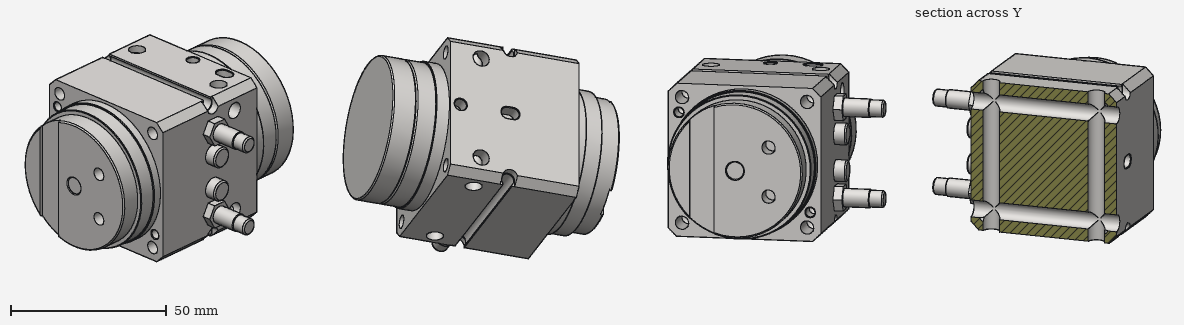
import cadquery as cq
import math

block_width = 50.0
block_length = 44.0
block_bevel = 2.7
block_half_width = block_width / 2
block_front = -block_length / 2
block_rear = block_length / 2

flange_radius = 24.0
collar_radius = 23.55
disc_radius = 22.0
front_flange_length = 3.0
front_collar_end = 8.5
front_disc_end = 15.0
rear_flange_length = 4.5
rear_collar_end = 11.0
rear_cap_length = 8.0
flange_chamfer = 0.25
front_collar_chamfer = 0.25
disc_chamfer = 0.45
cap_chamfer = 0.45

keyway_left = -14.9
keyway_right = -6.8
keyway_depth = 1.0
recess_radius = 3.1
recess_depth = 0.3
disc_screw_diameter = 4.3
disc_screw_depth = 6.0
disc_screw_x = 11.0
disc_screw_z = 8.0

corner_hole_diameter = 4.3
corner_hole_depth = 10.0
corner_hole_offset = 20.5
dowel_hole_diameter = 3.0
dowel_hole_depth = 6.0
dowel_hole_chamfer = 0.25
dowel_hole_x = 21.5
dowel_hole_z = 15.5
drill_point_angle = 118.0

cross_hole_diameter = 5.5
cross_hole_offset = 18.0
cross_hole_y = 11.5
locating_width = 4.0
locating_slot_length = 6.0
locating_depth = 5.0
locating_chamfer = 0.25
locating_hole_y = 18.5
top_slot_x = 14.0

groove_y = 1.5
groove_radius = 2.1
groove_mouth = 3.15
groove_end_radius = 2.45
groove_end_mouth = 2 * groove_end_radius
groove_axis_depth = 2.0

hex_flats = 8.0
hex_length = 2.9
plug_radius = 3.0
plug_end = 11.5
plug_chamfer = 0.25
tip_radius = 2.75
tip_end = 16.0
plug_z = 14.75
port_radius = 3.5
port_length = 4.0
port_z = 6.0
fitting_chamfer = 0.5


def cylinder_y(radius, start, end):
    """Cylinder about the Y axis between two Y positions."""
    axis = cq.Vector(0, 1, 0)
    return cq.Workplane(cq.Solid.makeCylinder(radius, end - start, cq.Vector(0, start, 0), axis))


def cylinder_x(radius, start, end, y, z):
    """Cylinder parallel to X between two X positions."""
    axis = cq.Vector(1, 0, 0)
    return cq.Workplane(cq.Solid.makeCylinder(radius, end - start, cq.Vector(start, y, z), axis))


def make_body_blank():
    """Block with its stepped round ends, before any cuts."""
    block = (
        cq.Workplane("XY")
        .box(block_width, block_length, block_width)
        .edges("|Y")
        .chamfer(block_bevel)
    )
    front_flange_face = block_front - front_flange_length
    front_collar_face = block_front - front_collar_end
    rear_flange_face = block_rear + rear_flange_length
    front_flange = cylinder_y(flange_radius, front_flange_face, 0).faces("<Y").chamfer(flange_chamfer)
    front_collar = cylinder_y(collar_radius, front_collar_face, 0).faces("<Y").chamfer(front_collar_chamfer)
    disc = cylinder_y(disc_radius, block_front - front_disc_end, 0).faces("<Y").chamfer(disc_chamfer)
    rear_flange = cylinder_y(flange_radius, 0, rear_flange_face).faces(">Y").chamfer(flange_chamfer)
    rear_collar = cylinder_y(collar_radius, 0, block_rear + rear_collar_end).faces(">Y").chamfer(cap_chamfer)
    return block.union(front_flange).union(front_collar).union(disc).union(rear_flange).union(rear_collar)


def cut_disc_face(body):
    """Keyway, centre recess and two screw holes in the front disc."""
    disc_face = block_front - front_disc_end
    keyway = cq.Workplane("XY").box(
        keyway_right - keyway_left, keyway_depth, 2 * disc_radius, centered=(False, False, True)
    ).translate((keyway_left, disc_face, 0))
    recess = cq.Workplane(
        cq.Solid.makeCone(
            recess_radius, recess_radius - recess_depth, recess_depth,
            cq.Vector(0, disc_face, 0), cq.Vector(0, 1, 0),
        )
    )
    screw_holes = (
        cq.Workplane("XZ", origin=(0, disc_face, 0))
        .pushPoints([(disc_screw_x, side * disc_screw_z) for side in (-1, 1)])
        .circle(disc_screw_diameter / 2)
        .extrude(-disc_screw_depth)
    )
    return body.cut(keyway).cut(recess).cut(screw_holes)


def drilled_hole(x, z, diameter, depth, chamfer=0.0):
    """Drill with a conical point, entering the front face of the block along +Y."""
    radius = diameter / 2
    point_length = radius / math.tan(math.radians(drill_point_angle / 2))
    profile = cq.Workplane("XY").moveTo(0, 0).lineTo(radius + chamfer, 0)
    if chamfer > 0:
        profile = profile.lineTo(radius, chamfer)
    profile = profile.lineTo(radius, depth).lineTo(0, depth + point_length).close()
    return profile.revolve(360, (0, 0, 0), (0, 1, 0)).translate((x, block_front, z))


def cut_end_holes(body):
    """Four corner holes in each end of the block, and two diagonal dowel holes in the front end."""
    for side_x in (-1, 1):
        for side_z in (-1, 1):
            corner_hole = drilled_hole(
                side_x * corner_hole_offset, side_z * corner_hole_offset,
                corner_hole_diameter, corner_hole_depth,
            )
            body = body.cut(corner_hole).cut(corner_hole.mirror("XZ"))
    for side in (-1, 1):
        body = body.cut(
            drilled_hole(
                side * dowel_hole_x, -side * dowel_hole_z,
                dowel_hole_diameter, dowel_hole_depth, dowel_hole_chamfer,
            )
        )
    return body


def cut_cross_holes(body):
    """Pairs of through holes along X and along Z, crossing near the block corners."""
    hole_along_z = cq.Workplane("XY").circle(cross_hole_diameter / 2).extrude(block_half_width, both=True)
    hole_along_x = hole_along_z.rotate((0, 0, 0), (0, 1, 0), 90)
    for side in (-1, 1):
        offset = side * cross_hole_offset
        body = body.cut(hole_along_z.translate((offset, cross_hole_y, 0)))
        body = body.cut(hole_along_x.translate((0, cross_hole_y, offset)))
    return body


def locating_pocket(length):
    """Chamfered pocket sinking from Z = 0, round or elongated along X."""

    def outline(offset):
        width = locating_width + 2 * offset
        sketch = cq.Workplane("XY")
        if length > locating_width:
            return sketch.slot2D(length + 2 * offset, width)
        return sketch.circle(width / 2)

    rim = outline(locating_chamfer).extrude(-locating_chamfer, taper=45)
    return outline(0).extrude(-locating_depth).union(rim)


def cut_locating_pockets(body):
    """Locating hole and slot on the top face and on the -X face."""
    round_pocket = locating_pocket(locating_width)
    slot_pocket = locating_pocket(locating_slot_length)
    body = body.cut(round_pocket.translate((0, locating_hole_y, block_half_width)))
    body = body.cut(slot_pocket.translate((top_slot_x, locating_hole_y, block_half_width)))

    def on_side(pocket, y):
        turned = pocket.rotate((0, 0, 0), (0, 0, 1), 90).rotate((0, 0, 0), (0, 1, 0), -90)
        return turned.translate((-block_half_width, y, 0))

    return body.cut(on_side(round_pocket, locating_hole_y)).cut(on_side(slot_pocket, groove_y))


def groove_cutter(radius, mouth, start, end):
    """Round channel along X under the top face, opened upward by a straight mouth."""
    channel = cylinder_x(radius, start, end, groove_y, block_half_width - groove_axis_depth)
    opening = cq.Workplane("XY").box(
        end - start, mouth, groove_axis_depth, centered=(False, True, False)
    ).translate((start, groove_y, block_half_width - groove_axis_depth))
    return channel.union(opening)


def cut_sensor_grooves(body):
    """Matching grooves in the top and bottom faces, widened at both ends."""
    end_start = block_half_width - block_bevel
    groove = groove_cutter(groove_radius, groove_mouth, -block_half_width, block_half_width)
    groove = groove.union(
        groove_cutter(groove_end_radius, groove_end_mouth, -block_half_width, -end_start)
    )
    groove = groove.union(
        groove_cutter(groove_end_radius, groove_end_mouth, end_start, block_half_width)
    )
    return body.cut(groove).cut(groove.mirror("XY"))


def add_fittings(body):
    """Two hexagonal plugs and two plain ports on the +X side, mirrored about Z = 0."""
    face = block_half_width
    hex_corners = hex_flats / math.cos(math.radians(30))
    for side in (-1, 1):
        z = side * plug_z
        hexagon = (
            cq.Workplane("YZ", origin=(face, groove_y, z)).polygon(6, hex_corners).extrude(hex_length)
        )
        plug = cylinder_x(plug_radius, face, face + plug_end, groove_y, z).faces(">X").chamfer(plug_chamfer)
        tip = cylinder_x(tip_radius, face, face + tip_end, groove_y, z).faces(">X").chamfer(fitting_chamfer)
        port = cylinder_x(port_radius, face, face + port_length, groove_y, side * port_z)
        port = port.faces(">X").chamfer(fitting_chamfer)
        body = body.union(hexagon).union(plug).union(tip).union(port)
    return body


def make_housing():
    """Housing with all its cuts and fittings, as one solid."""
    body = cut_disc_face(make_body_blank())
    body = cut_end_holes(body)
    body = cut_cross_holes(body)
    body = cut_locating_pockets(body)
    body = cut_sensor_grooves(body)
    return add_fittings(body)


def make_rear_cap():
    """Round cap seated against the rear collar, chamfered on both rims."""
    cap_start = block_rear + rear_collar_end
    cap = cylinder_y(collar_radius, cap_start, cap_start + rear_cap_length)
    return cap.faces("<Y or >Y").chamfer(cap_chamfer)


housing = make_housing()
rear_cap = make_rear_cap()
result = cq.Compound.makeCompound([housing.val(), rear_cap.val()])